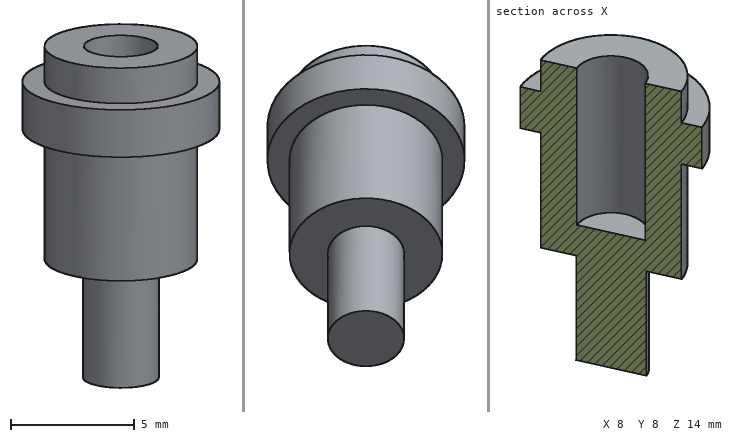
import cadquery as cq

total_length = 14.0

pin_diameter = 3.1
body_diameter = 6.2
flange_diameter = 8.0
bore_diameter = 3.0

pin_length = 5.0
flange_thickness = 2.0
collar_height = 1.5
body_length = total_length - pin_length - flange_thickness - collar_height

bore_floor = collar_height
bore_depth = total_length - pin_length - bore_floor


def cylinder(diameter, bottom, height):
    """Solid cylinder on the Z axis, rising from the given bottom level."""
    return cq.Workplane("XY").workplane(offset=bottom).circle(diameter / 2).extrude(height)


flange_bottom = pin_length + body_length
collar_bottom = flange_bottom + flange_thickness

pin = cylinder(pin_diameter, 0, pin_length)
body = cylinder(body_diameter, pin_length, body_length)
flange = cylinder(flange_diameter, flange_bottom, flange_thickness)
collar = cylinder(body_diameter, collar_bottom, collar_height)

bore = cylinder(bore_diameter, total_length - bore_depth, bore_depth)

result = pin.union(body).union(flange).union(collar).cut(bore)